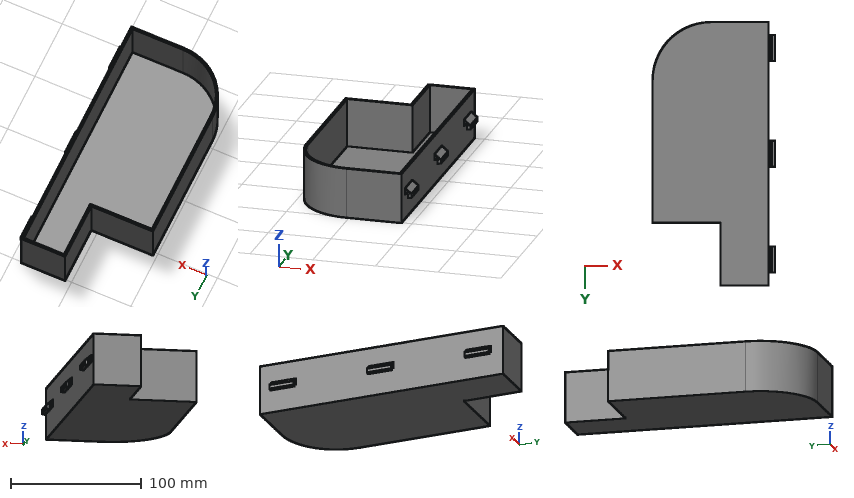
import cadquery as cq

body_width = 89.0
body_length = 202.0
body_height = 40.0
wall = 1.5
corner_radius = 45.0
notch_width = 52.0
notch_length = 48.0

hook_count = 3
hook_width = 20.0
hook_end_margin = 10.0
hook_reach = 5.0
lip_thickness = 2.5
lip_bottom = 17.3
lip_rise = 0.5
arm_top = 25.0
arm_drop = 4.2
gusset_depth = 1.5
gusset_bottom = 20.0
gusset_top = 21.5
arm_inner_height = 20.0


def tray_outline(inset):
    """Closed plan outline of the tray, moved inwards by inset."""
    left = inset
    right = body_width - inset
    front = inset
    back = body_length - inset
    step_x = notch_width + inset
    step_y = body_length - notch_length - inset
    radius = corner_radius - inset
    return (
        cq.Workplane("XY")
        .moveTo(corner_radius, front)
        .lineTo(right, front)
        .lineTo(right, back)
        .lineTo(step_x, back)
        .lineTo(step_x, step_y)
        .lineTo(left, step_y)
        .lineTo(left, corner_radius)
        .radiusArc((corner_radius, front), -radius)
        .close()
    )


def make_tray():
    """Open-topped tray with a flat floor."""
    outside = tray_outline(0).extrude(body_height)
    cavity = tray_outline(wall).extrude(body_height).translate((0, 0, wall))
    return outside.cut(cavity)


def make_hook(start_y):
    """Hook with a sloping arm and a downward lip, running along +Y from start_y."""
    outer_x = body_width + hook_reach
    lip_inner_x = outer_x - lip_thickness
    root_x = body_width - wall / 2
    profile = [
        (root_x, arm_top),
        (body_width, arm_top),
        (outer_x, arm_top - arm_drop),
        (outer_x, lip_bottom + lip_rise),
        (lip_inner_x, lip_bottom),
        (lip_inner_x, arm_inner_height),
        (body_width + gusset_depth, gusset_top),
        (body_width, gusset_bottom),
        (root_x, gusset_bottom),
    ]
    hook = cq.Workplane("XZ").polyline(profile).close().extrude(-hook_width)
    return hook.translate((0, start_y, 0))


result = make_tray()
hook_pitch = (body_length - 2 * hook_end_margin - hook_width) / (hook_count - 1)
for index in range(hook_count):
    result = result.union(make_hook(hook_end_margin + index * hook_pitch))